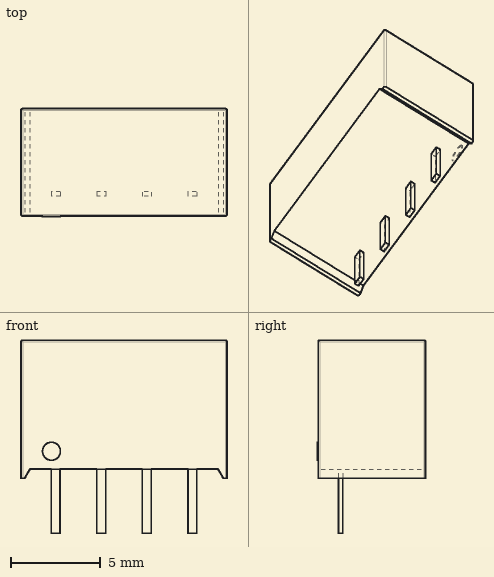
import cadquery as cq

case_length = 11.5
case_depth = 6.0
case_height = 7.7
edge_radius = 0.1

relief_height = 0.51
foot_width = 0.22
foot_top_width = 0.51

dot_diameter = 1.0
dot_height = 0.05
dot_x = -4.05
dot_z = 1.51

pin_count = 4
pin_pitch = 2.54
pin_width = 0.51
pin_thickness = 0.25
pin_inset = 1.25
overall_height = 10.78

front_y = -case_depth / 2
pin_tip_z = case_height - overall_height


def make_case():
    """Block with rounded top and upright edges, relieved underneath between the feet."""
    block = cq.Workplane("XY").box(case_length, case_depth, case_height, centered=(True, True, False))
    block = block.edges("|Z or >Z").fillet(edge_radius)

    half_bottom = case_length / 2 - foot_width
    half_top = case_length / 2 - foot_top_width
    relief = (
        cq.Workplane("XZ")
        .polyline([
            (-half_bottom, 0),
            (-half_top, relief_height),
            (half_top, relief_height),
            (half_bottom, 0),
        ])
        .close()
        .extrude(case_depth / 2, both=True)
    )
    return block.cut(relief)


def make_dot():
    """Thin disc standing out from the front face."""
    return (
        cq.Workplane("XZ", origin=(dot_x, front_y, dot_z))
        .circle(dot_diameter / 2)
        .extrude(dot_height)
    )


def make_pins():
    """Evenly spaced rectangular pins, from their tips up to the relieved underside."""
    return (
        cq.Workplane("XY", origin=(0, front_y + pin_inset, pin_tip_z))
        .rarray(pin_pitch, 0.12, pin_count, 1)
        .rect(pin_width, pin_thickness)
        .extrude(relief_height - pin_tip_z)
    )


result = make_case().union(make_dot()).union(make_pins())